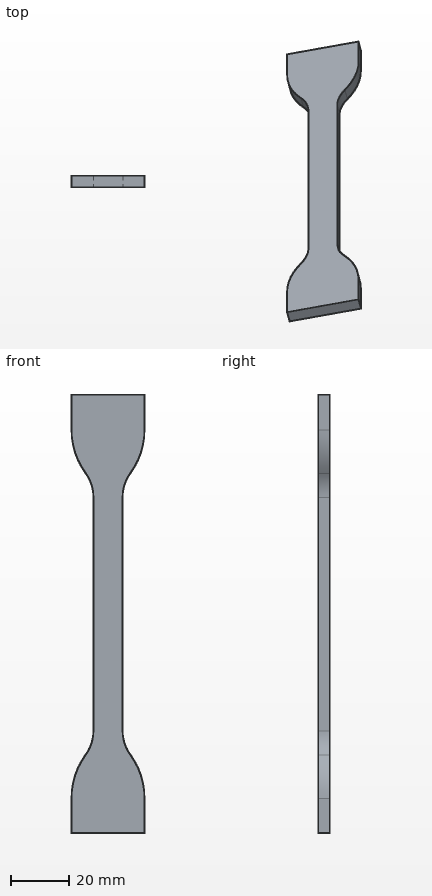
import cadquery as cq
import math

length = 150.0
grip_width = 25.0
neck_width = 10.0
thickness = 4.0
neck_length = 80.0
shoulder_radius = 25.0
fillet_radius = 14.0

half_length = length / 2
half_grip = grip_width / 2
half_neck = neck_width / 2
neck_end = neck_length / 2

radius_sum = shoulder_radius + fillet_radius
turn_angle = math.acos(1 - (half_grip - half_neck) / radius_sum)
shoulder_end = neck_end + radius_sum * math.sin(turn_angle)


def fillet_point(angle):
    """Point on the concave arc, at the given turn from the neck edge."""
    x = half_neck + fillet_radius * (1 - math.cos(angle))
    z = neck_end + fillet_radius * math.sin(angle)
    return x, z


def shoulder_point(angle):
    """Point on the convex arc, at the given turn from the grip edge."""
    x = half_grip - shoulder_radius * (1 - math.cos(angle))
    z = shoulder_end - shoulder_radius * math.sin(angle)
    return x, z


outline = (
    cq.Workplane("XZ")
    .moveTo(0, half_length)
    .lineTo(half_grip, half_length)
    .lineTo(half_grip, shoulder_end)
    .threePointArc(shoulder_point(turn_angle / 2), shoulder_point(turn_angle))
    .threePointArc(fillet_point(turn_angle / 2), fillet_point(0))
    .lineTo(half_neck, 0)
    .mirrorX()
    .mirrorY()
)

result = outline.extrude(thickness / 2, both=True)